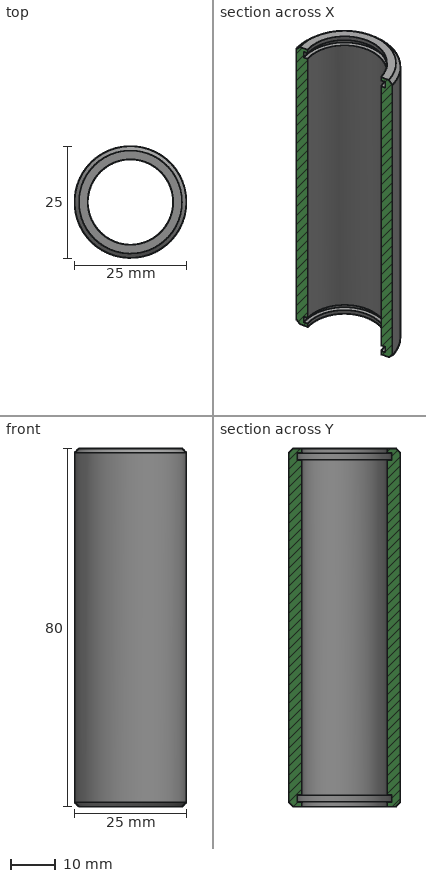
import cadquery as cq

LENGTH = 80.0
OUTER_DIAMETER = 25.0
BORE_DIAMETER = 19.0
EDGE_CHAMFER = 1.0
GROOVE_DIAMETER = 21.0
GROOVE_WIDTH = 1.5
GROOVE_INSET = 1.1


def cylinder(diameter, height, bottom_z):
    """Solid cylinder on the Z axis, rising from bottom_z."""
    return cq.Workplane("XY", origin=(0, 0, bottom_z)).circle(diameter / 2).extrude(height)


def make_sleeve():
    """Tube along Z, centred on the origin, with chamfered outer edges."""
    body = cylinder(OUTER_DIAMETER, LENGTH, -LENGTH / 2)
    body = body.faces("<Z or >Z").edges().chamfer(EDGE_CHAMFER)
    return body.cut(cylinder(BORE_DIAMETER, LENGTH, -LENGTH / 2))


def cut_ring_grooves(sleeve):
    """Cut one retaining-ring groove inside each end of the bore."""
    upper_groove_z = LENGTH / 2 - GROOVE_INSET - GROOVE_WIDTH
    lower_groove_z = -LENGTH / 2 + GROOVE_INSET
    for groove_z in (upper_groove_z, lower_groove_z):
        sleeve = sleeve.cut(cylinder(GROOVE_DIAMETER, GROOVE_WIDTH, groove_z))
    return sleeve


result = cut_ring_grooves(make_sleeve())